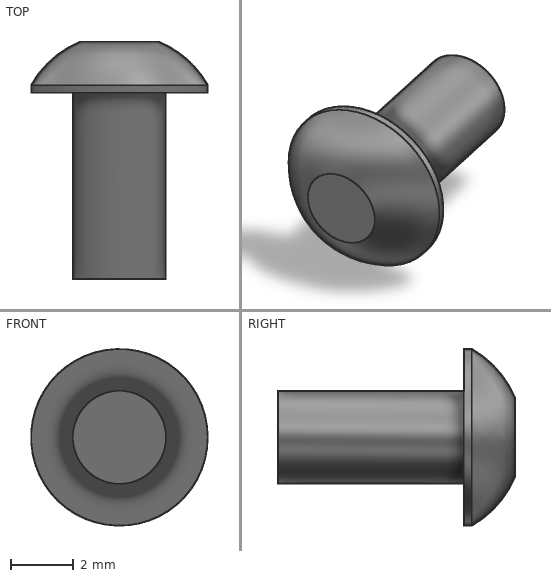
import cadquery as cq
import math

total_length = 7.65
shank_length = 6.0
shank_radius = 3.0 / 2
head_radius = 5.7 / 2
rim_thickness = 0.25
crown_flat_radius = 2.525 / 2

dome_height = total_length - shank_length - rim_thickness

centre_depth = (head_radius**2 - crown_flat_radius**2 - dome_height**2) / (2 * dome_height)
dome_radius = math.hypot(head_radius, centre_depth)
rim_angle = math.atan2(centre_depth, head_radius)
crown_angle = math.atan2(centre_depth + dome_height, crown_flat_radius)
middle_angle = (rim_angle + crown_angle) / 2

dome_middle = (
    dome_radius * math.cos(middle_angle),
    rim_thickness - centre_depth + dome_radius * math.sin(middle_angle),
)

result = (
    cq.Workplane("XY")
    .moveTo(0, -shank_length)
    .lineTo(shank_radius, -shank_length)
    .lineTo(shank_radius, 0)
    .lineTo(head_radius, 0)
    .lineTo(head_radius, rim_thickness)
    .threePointArc(dome_middle, (crown_flat_radius, rim_thickness + dome_height))
    .lineTo(0, rim_thickness + dome_height)
    .close()
    .revolve(360, (0, 0, 0), (0, 1, 0))
)